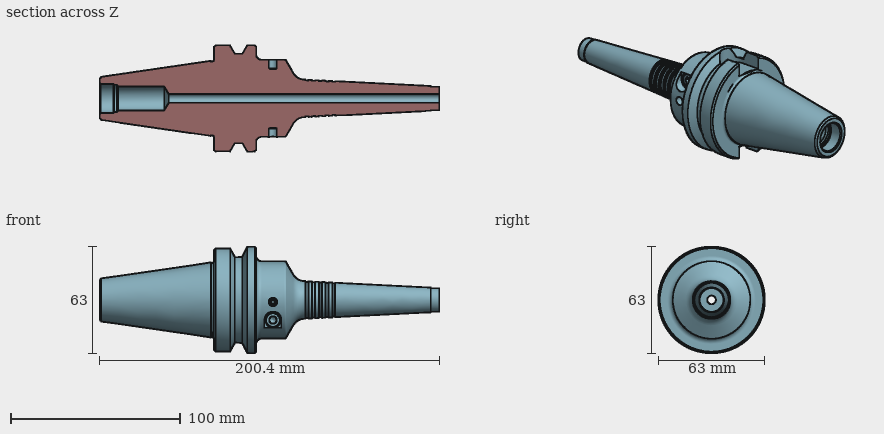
import cadquery as cq
import math

taper_length = 65.4
gauge_to_flange = 2.0
flange_end = 27.0
body_end = 43.6
overall_length = 200.4
tip_end = overall_length - taper_length

gauge_diameter = 44.45
taper_rate = 7 / 24
taper_end_chamfer = 1.0
relief_diameter = 43.5
relief_start = 0.5

flange_diameter = 63.0
groove_floor_diameter = 53.0
groove_floor_start = 14.4
groove_floor_end = 18.7
groove_half_angle = math.radians(30)
flange_chamfer = 1.0

body_diameter = 45.8
flange_fillet = 3.0
body_round = 1.2

neck_diameter = 22.4
shoulder_angle = math.radians(60)
neck_fillet = 7.5
nose_length = 5.0
neck_end_diameter = 14.8
nose_diameter = 14.0
neck_end = tip_end - nose_length

shoulder_drop = (body_diameter - neck_diameter) / 2
round_share = 1 - math.cos(shoulder_angle)
shoulder_cone_drop = shoulder_drop - (body_round + neck_fillet) * round_share
shoulder_cone_length = shoulder_cone_drop / math.tan(shoulder_angle)
shoulder_length = shoulder_cone_length + (body_round + neck_fillet) * math.sin(shoulder_angle)
neck_start = body_end + shoulder_length

neck_groove_count = 5
neck_groove_pitch = 3.95
first_neck_groove = 55.85
neck_groove_width = 2.0
neck_groove_depth = 0.4
neck_groove_slope = 0.3
cutter_clearance = 1.0

slot_width = 16.1
slot_floor = 22.5
slot_length = 20.6

mouth_diameter = 18.4
lead_diameter = 17.0
lead_depth = 8.0
mouth_chamfer_depth = (mouth_diameter - lead_diameter) / 2
thread_diameter = 16.0
thread_depth = 10.0
core_diameter = 14.0
core_depth = 38.0
drill_point_angle = math.radians(118)
through_diameter = 5.0

side_station = 36.8
pocket_diameter = 10.0
pocket_offset = 11.9
pocket_floor = 16.0
pocket_screw_rim = 9.0
pocket_screw_diameter = 8.0
pocket_hex_width = 4.0
pocket_hex_depth = 4.0
small_hole_diameter = 5.0
small_hole_offset = 1.2
small_hole_depth = 5.0
small_screw_diameter = 4.1
small_hex_width = 2.0
small_hex_depth = 2.0


def taper_radius(x):
    return gauge_diameter / 2 + x * taper_rate / 2


def revolved_about_x(outline):
    return outline.close().revolve(360, (0, 0, 0), (1, 0, 0))


def arc_point(x, r, radius, angle, x_side, r_side):
    """Point on an arc that leaves (x, r) parallel to the axis and has turned through the angle."""
    along = radius * math.sin(angle)
    outward = radius * (1 - math.cos(angle))
    return (x + x_side * along, r + r_side * outward)


def body_round_point(angle):
    return arc_point(body_end, body_diameter / 2, body_round, angle, 1, -1)


def neck_fillet_point(angle):
    return arc_point(neck_start, neck_diameter / 2, neck_fillet, angle, -1, 1)


def flange_fillet_point(angle):
    return arc_point(flange_end + flange_fillet, body_diameter / 2, flange_fillet, angle, -1, 1)


def relief_fillet_point(angle):
    return arc_point(relief_start, relief_diameter / 2, gauge_to_flange - relief_start, angle, 1, 1)


def holder_blank():
    flange_r = flange_diameter / 2
    floor_r = groove_floor_diameter / 2
    flank = (flange_r - floor_r) * math.tan(groove_half_angle)
    nose_r = nose_diameter / 2
    small_end = -taper_length
    chamfer_end = small_end + taper_end_chamfer
    quarter_turn = math.pi / 2
    outline = (
        cq.Workplane("XY")
        .moveTo(small_end, 0)
        .lineTo(small_end, taper_radius(small_end) - taper_end_chamfer)
        .lineTo(chamfer_end, taper_radius(chamfer_end))
        .lineTo(0, gauge_diameter / 2)
        .lineTo(*relief_fillet_point(0))
        .threePointArc(relief_fillet_point(quarter_turn / 2), relief_fillet_point(quarter_turn))
        .lineTo(gauge_to_flange, flange_r - flange_chamfer)
        .lineTo(gauge_to_flange + flange_chamfer, flange_r)
        .lineTo(groove_floor_start - flank, flange_r)
        .lineTo(groove_floor_start, floor_r)
        .lineTo(groove_floor_end, floor_r)
        .lineTo(groove_floor_end + flank, flange_r)
        .lineTo(flange_end - flange_chamfer, flange_r)
        .lineTo(flange_end, flange_r - flange_chamfer)
        .lineTo(*flange_fillet_point(quarter_turn))
        .threePointArc(flange_fillet_point(quarter_turn / 2), flange_fillet_point(0))
        .lineTo(*body_round_point(0))
        .threePointArc(body_round_point(shoulder_angle / 2), body_round_point(shoulder_angle))
        .lineTo(*neck_fillet_point(shoulder_angle))
        .threePointArc(neck_fillet_point(shoulder_angle / 2), neck_fillet_point(0))
        .lineTo(neck_end, neck_end_diameter / 2)
        .lineTo(neck_end, nose_r)
        .lineTo(tip_end, nose_r)
        .lineTo(tip_end, 0)
    )
    return revolved_about_x(outline)


def neck_radius(x):
    share = (x - neck_start) / (neck_end - neck_start)
    return (neck_diameter + share * (neck_end_diameter - neck_diameter)) / 2


def neck_groove(start):
    """Ring-shaped cutter with sloped walls, following the taper of the neck."""
    end = start + neck_groove_width
    floor_start = start + neck_groove_slope
    floor_end = end - neck_groove_slope
    outline = (
        cq.Workplane("XY")
        .moveTo(start, neck_radius(start))
        .lineTo(floor_start, neck_radius(floor_start) - neck_groove_depth)
        .lineTo(floor_end, neck_radius(floor_end) - neck_groove_depth)
        .lineTo(end, neck_radius(end))
        .lineTo(end, neck_radius(end) + cutter_clearance)
        .lineTo(start, neck_radius(start) + cutter_clearance)
    )
    return revolved_about_x(outline)


def drive_slot():
    """Flat-bottomed slot on the +Z side, open at the taper face of the flange and round at its other end."""
    height = flange_diameter
    round_center = gauge_to_flange + slot_length - slot_width / 2
    straight = round_center - gauge_to_flange
    slot = cq.Workplane("XY", origin=(round_center, 0, slot_floor)).circle(slot_width / 2).extrude(height)
    channel = (
        cq.Workplane("XY", origin=(round_center - straight / 2, 0, slot_floor))
        .rect(straight, slot_width)
        .extrude(height)
    )
    return slot.union(channel)


def bore():
    """Stepped bore from the taper end, pointed down to a coolant hole that runs through to the tip."""
    start = -taper_length
    point = (core_diameter - through_diameter) / 2 / math.tan(drill_point_angle / 2)
    lead_bevel = (lead_diameter - thread_diameter) / 2
    thread_bevel = (thread_diameter - core_diameter) / 2
    outline = (
        cq.Workplane("XY")
        .moveTo(start, 0)
        .lineTo(start, mouth_diameter / 2)
        .lineTo(start + mouth_chamfer_depth, lead_diameter / 2)
        .lineTo(start + lead_depth, lead_diameter / 2)
        .lineTo(start + lead_depth + lead_bevel, thread_diameter / 2)
        .lineTo(start + thread_depth, thread_diameter / 2)
        .lineTo(start + thread_depth + thread_bevel, core_diameter / 2)
        .lineTo(start + core_depth, core_diameter / 2)
        .lineTo(start + core_depth + point, through_diameter / 2)
        .lineTo(tip_end, through_diameter / 2)
        .lineTo(tip_end, 0)
    )
    return revolved_about_x(outline)


def side_plane(z, y):
    """Plane facing -Y at the station of the side screws: positive extrusion goes outward."""
    return cq.Workplane("XZ", origin=(side_station, y, z))


def socket_screw(z, floor_y, rim_diameter, end_diameter, hex_width, hex_depth):
    """Recess over a set screw along Y: countersunk rim, flat screw end, hex socket with a pointed bottom."""
    bevel = (rim_diameter - end_diameter) / 2
    hex_corners = hex_width / math.cos(math.pi / 6)
    end_y = floor_y + bevel
    socket_y = end_y + hex_depth
    rim = side_plane(z, floor_y).circle(rim_diameter / 2).extrude(-bevel, taper=45)
    socket = side_plane(z, end_y).polygon(6, hex_corners).extrude(-hex_depth)
    point = cq.Solid.makeCone(
        hex_corners / 2,
        0,
        hex_corners / 2 / math.tan(drill_point_angle / 2),
        cq.Vector(side_station, socket_y, z),
        cq.Vector(0, 1, 0),
    )
    return rim.union(socket).union(cq.Workplane(point))


def screw_pocket():
    """U-shaped pocket on the -Y side, open downward, with a set screw in its floor."""
    reach = body_diameter / 2
    pocket = side_plane(-pocket_offset, -pocket_floor).circle(pocket_diameter / 2).extrude(reach)
    opening = (
        side_plane(-pocket_offset - reach / 2, -pocket_floor).rect(pocket_diameter, reach).extrude(reach)
    )
    screw = socket_screw(
        -pocket_offset,
        -pocket_floor,
        pocket_screw_rim,
        pocket_screw_diameter,
        pocket_hex_width,
        pocket_hex_depth,
    )
    return pocket.union(opening).union(screw)


def small_screw_hole():
    """Round hole on the -Y side with a set screw at its bottom."""
    reach = body_diameter / 2
    floor_y = small_hole_depth - reach
    hole = side_plane(-small_hole_offset, floor_y).circle(small_hole_diameter / 2).extrude(reach)
    screw = socket_screw(
        -small_hole_offset,
        floor_y,
        small_hole_diameter,
        small_screw_diameter,
        small_hex_width,
        small_hex_depth,
    )
    return hole.union(screw)


result = holder_blank().cut(bore())
for index in range(neck_groove_count):
    result = result.cut(neck_groove(first_neck_groove + index * neck_groove_pitch))
for turn in (0, 180):
    for cutter in (drive_slot(), screw_pocket(), small_screw_hole()):
        result = result.cut(cutter.rotate((0, 0, 0), (1, 0, 0), turn))